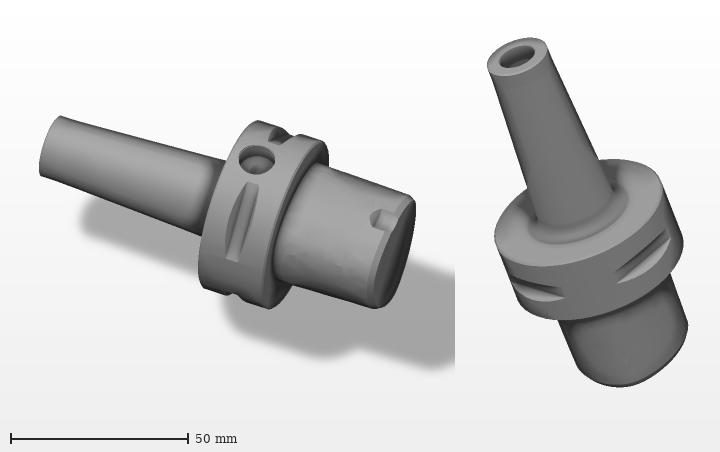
import cadquery as cq
import math


TOTAL_LENGTH = 105.0
TAPER_LENGTH = 30.0
FLANGE_WIDTH = 20.0
FLANGE_REAR = TOTAL_LENGTH - TAPER_LENGTH
FLANGE_FRONT = FLANGE_REAR - FLANGE_WIDTH

NOSE_RADIUS = 9.0
NOSE_LENGTH = 4.8
NOSE_CHAMFER_LENGTH = 0.3
NOSE_CHAMFER_DROP = 0.55
NECK_RADIUS = 22.7 / 2
CONE_END = 51.0
NECK_END = 51.9
BORE_RADIUS = 10.5 / 2
BORE_DEPTH = 5.0
BORE_CHAMFER = 0.3

BLEND_RADIUS = 3.3
RELIEF_RADIUS = 15.6

FLANGE_RADIUS = 25.0
FLANGE_CHAMFER = 0.5

GROOVE_CENTRE = FLANGE_REAR - FLANGE_WIDTH / 2
GROOVE_ANGLES = (45, 135, 225, 315)
GROOVE_FLOOR = 22.2
GROOVE_FLOOR_WIDTH = 3.6
GROOVE_WALL_ANGLE = 30.0
GROOVE_FILLET = 0.35

LOCATING_X = FLANGE_FRONT + 8.0
LOCATING_MOUTH_RADIUS = 10.5 / 2
LOCATING_FLOOR_RADIUS = 10.0 / 2
LOCATING_DEPTH = 5.5
DIMPLE_RADIUS = 2.0
DIMPLE_TIP_ANGLE = 120.0

LOBE_MEAN_RADIUS = 17.6
LOBE_HEIGHT = 1.15
LOBE_DIRECTION = 270.0
LOBE_POINTS = 72
TAPER_PER_LENGTH = 1 / 40
TAPER_CHAMFER_LENGTH = 1.7
TAPER_CHAMFER_DROP = 1.0

SLOT_RADIUS = 4.6
SLOT_HEIGHT = 18.5
SLOT_LENGTH = 5.5
SLOT_TIP_ANGLE = 90.0

CLEARANCE = 2.0


def make_turned_body():
    """Nose, cone, neck and flange, revolved about the X axis."""
    blend_centre_radius = NECK_RADIUS + BLEND_RADIUS
    diagonal = BLEND_RADIUS * math.sqrt(0.5)
    profile = (
        cq.Workplane("XY")
        .moveTo(0, 0)
        .lineTo(0, NOSE_RADIUS - NOSE_CHAMFER_DROP)
        .lineTo(NOSE_CHAMFER_LENGTH, NOSE_RADIUS)
        .lineTo(NOSE_LENGTH, NOSE_RADIUS)
        .lineTo(CONE_END, NECK_RADIUS)
        .lineTo(NECK_END, NECK_RADIUS)
        .threePointArc(
            (NECK_END + diagonal, blend_centre_radius - diagonal),
            (NECK_END + BLEND_RADIUS, blend_centre_radius),
        )
        .lineTo(FLANGE_FRONT, RELIEF_RADIUS)
        .lineTo(FLANGE_FRONT, FLANGE_RADIUS - FLANGE_CHAMFER)
        .lineTo(FLANGE_FRONT + FLANGE_CHAMFER, FLANGE_RADIUS)
        .lineTo(FLANGE_REAR - FLANGE_CHAMFER, FLANGE_RADIUS)
        .lineTo(FLANGE_REAR, FLANGE_RADIUS - FLANGE_CHAMFER)
        .lineTo(FLANGE_REAR, 0)
        .close()
    )
    return profile.revolve(360, (0, 0, 0), (1, 0, 0))


def lobed_wire(x, mean_radius):
    """Closed constant-width curve in the plane at x, with one lobe toward -Z."""
    points = []
    for step in range(LOBE_POINTS):
        angle = math.radians(360 * step / LOBE_POINTS)
        lobe_angle = 3 * (angle - math.radians(LOBE_DIRECTION))
        support = mean_radius + LOBE_HEIGHT * math.cos(lobe_angle)
        slope = -3 * LOBE_HEIGHT * math.sin(lobe_angle)
        y = support * math.cos(angle) - slope * math.sin(angle)
        z = support * math.sin(angle) + slope * math.cos(angle)
        points.append(cq.Vector(x, y, z))
    return cq.Wire.assembleEdges([cq.Edge.makeSpline(points, periodic=True)])


def make_taper():
    """Lobed taper with its chamfered rear edge."""
    chamfer_start = TOTAL_LENGTH - TAPER_CHAMFER_LENGTH
    chamfer_mean_radius = LOBE_MEAN_RADIUS - TAPER_PER_LENGTH * (chamfer_start - FLANGE_REAR)
    base = lobed_wire(FLANGE_REAR, LOBE_MEAN_RADIUS)
    shoulder = lobed_wire(chamfer_start, chamfer_mean_radius)
    end = lobed_wire(TOTAL_LENGTH, chamfer_mean_radius - TAPER_CHAMFER_DROP)
    body = cq.Workplane(cq.Solid.makeLoft([base, shoulder], True))
    chamfer = cq.Workplane(cq.Solid.makeLoft([shoulder, end], True))
    return body.union(chamfer)


def make_bore():
    """Blind bore in the nose with a chamfered mouth."""
    return (
        cq.Workplane("XY")
        .moveTo(0, 0)
        .lineTo(0, BORE_RADIUS + BORE_CHAMFER)
        .lineTo(BORE_CHAMFER, BORE_RADIUS)
        .lineTo(BORE_DEPTH, BORE_RADIUS)
        .lineTo(BORE_DEPTH, 0)
        .close()
        .revolve(360, (0, 0, 0), (1, 0, 0))
    )


def make_groove(angle):
    """Straight gripper groove with sloping walls, its floor facing the given angle about X."""
    top = FLANGE_RADIUS + CLEARANCE
    half_floor = GROOVE_FLOOR_WIDTH / 2
    half_top = half_floor + (top - GROOVE_FLOOR) * math.tan(math.radians(GROOVE_WALL_ANGLE))
    groove = (
        cq.Workplane("XZ")
        .moveTo(GROOVE_CENTRE - half_floor, GROOVE_FLOOR)
        .lineTo(GROOVE_CENTRE + half_floor, GROOVE_FLOOR)
        .lineTo(GROOVE_CENTRE + half_top, top)
        .lineTo(GROOVE_CENTRE - half_top, top)
        .close()
        .extrude(FLANGE_RADIUS, both=True)
        .edges("|Y and <Z")
        .fillet(GROOVE_FILLET)
    )
    return groove.rotate((0, 0, 0), (1, 0, 0), angle)


def make_locating_hole():
    """Hole from the top, chamfered at its mouth and flat floor, with a conical dimple."""
    wall_radius = (LOCATING_MOUTH_RADIUS + LOCATING_FLOOR_RADIUS) / 2
    chamfer = LOCATING_MOUTH_RADIUS - wall_radius
    floor = FLANGE_RADIUS - LOCATING_DEPTH
    top = FLANGE_RADIUS + CLEARANCE
    rim_low_point = math.sqrt(FLANGE_RADIUS**2 - LOCATING_MOUTH_RADIUS**2)
    dimple_depth = DIMPLE_RADIUS / math.tan(math.radians(DIMPLE_TIP_ANGLE / 2))
    hole = (
        cq.Workplane("XZ")
        .moveTo(0, floor - dimple_depth)
        .lineTo(DIMPLE_RADIUS, floor)
        .lineTo(LOCATING_FLOOR_RADIUS, floor)
        .lineTo(wall_radius, floor + chamfer)
        .lineTo(wall_radius, rim_low_point - chamfer)
        .lineTo(LOCATING_MOUTH_RADIUS, rim_low_point)
        .lineTo(LOCATING_MOUTH_RADIUS, top)
        .lineTo(0, top)
        .close()
        .revolve(360, (0, 0, 0), (0, 1, 0))
    )
    return hole.translate((LOCATING_X, 0, 0))


def make_drive_slot():
    """Round-bottomed slot with a conical inner end, open at the rear of the taper."""
    cone_start = TOTAL_LENGTH - SLOT_LENGTH
    cone_length = SLOT_RADIUS / math.tan(math.radians(SLOT_TIP_ANGLE / 2))
    slot = (
        cq.Workplane("XY")
        .moveTo(cone_start - cone_length, 0)
        .lineTo(cone_start, SLOT_RADIUS)
        .lineTo(TOTAL_LENGTH + CLEARANCE, SLOT_RADIUS)
        .lineTo(TOTAL_LENGTH + CLEARANCE, 0)
        .close()
        .revolve(360, (0, 0, 0), (1, 0, 0))
    )
    return slot.translate((0, 0, SLOT_HEIGHT))


result = make_turned_body().union(make_taper())
result = result.cut(make_bore()).cut(make_locating_hole()).cut(make_drive_slot())
for groove_angle in GROOVE_ANGLES:
    result = result.cut(make_groove(groove_angle))